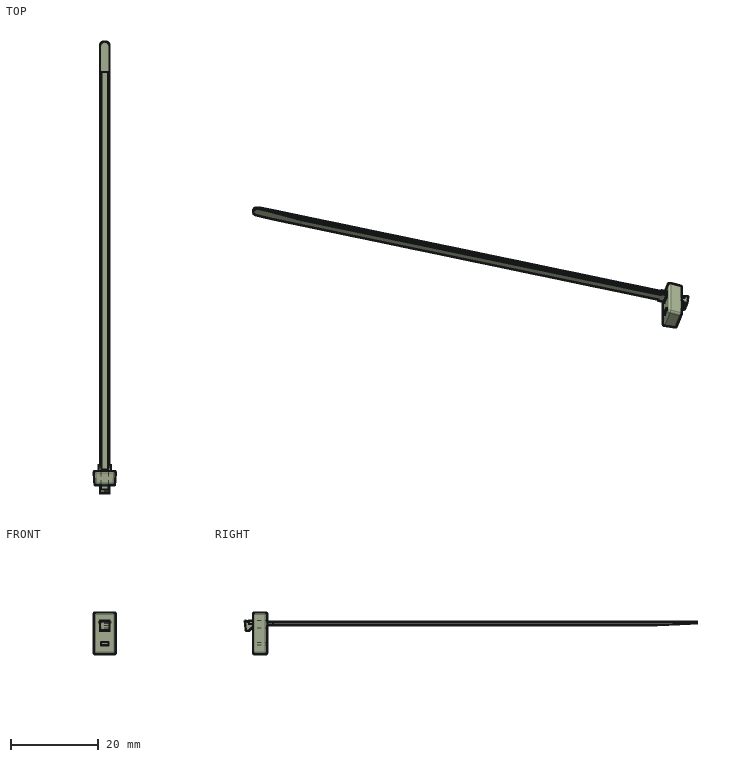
import cadquery as cq
import math


head_back_width = 5.1
head_depth = 3.3
head_height = 9.6
head_edge_radius = 0.5
front_side_radius = 0.3
side_draft = 4.0
slot_width = 1.6
slot_height = 0.6
slot_z = -2.4

strap_length = 97.7
strap_width = 2.3
strap_parting_width = 2.2
strap_bottom_width = 1.6
strap_top = 2.7
strap_thickness = 0.9
strap_bevel = 0.3
strap_bottom = strap_top - strap_thickness
tip_radius = strap_width / 2
tip_thickness = 0.4
tip_ramp_length = 11.3
groove_width = 1.5
groove_depth = 0.15
groove_start = 0.3
groove_end_margin = 7.0

collar_width = 2.9
collar_length = 1.3

neck_width = 1.7
neck_top = 2.9
neck_bottom = 1.2
shoulder_top = 2.2
plate_width = 2.3
plate_top = 2.6
plate_back = -4.2
hook_end = -5.1
hook_bottom = 0.5
shoulder_slope_start = -3.5
lip_y = -4.9
lip_z = 2.7
foot_bevel_y = -4.9
foot_bevel_z = 0.7
foot_y = -4.6


def block(width, y_start, y_end, z_start, z_end):
    """Rectangular block centred on X between the given Y and Z limits."""
    size_y = y_end - y_start
    size_z = z_end - z_start
    return cq.Workplane("XY").box(width, size_y, size_z).translate(
        (0, (y_start + y_end) / 2, (z_start + z_end) / 2)
    )


def side_profile(points, width):
    """Closed (Y, Z) outline extruded symmetrically along X."""
    return cq.Workplane("YZ").polyline(points).close().extrude(width / 2, both=True)


def make_strap_blank():
    """Full-length bar with slightly drafted sides and bevelled lower edges."""
    parting_z = strap_bottom + strap_bevel
    right_half = [
        (strap_bottom_width / 2, strap_bottom),
        (strap_parting_width / 2, parting_z),
        (strap_width / 2, strap_top),
    ]
    left_half = [(-x, z) for x, z in reversed(right_half)]
    return cq.Workplane("XZ").polyline(right_half + left_half).close().extrude(-strap_length)


def round_and_thin_tip(bar):
    """Round the tip seen from above and ramp its underside up."""
    arc_start = strap_length - tip_radius
    plan = (
        cq.Workplane("XY", origin=(0, 0, strap_bottom))
        .moveTo(-tip_radius, 0)
        .lineTo(tip_radius, 0)
        .lineTo(tip_radius, arc_start)
        .threePointArc((0, strap_length), (-tip_radius, arc_start))
        .close()
        .extrude(strap_thickness)
    )
    ramp = side_profile(
        [
            (strap_length - tip_ramp_length, strap_bottom),
            (strap_length, strap_bottom),
            (strap_length, strap_top - tip_thickness),
        ],
        strap_width,
    )
    return bar.intersect(plan).cut(ramp)


def make_collar():
    """Wider root of the strap, bevelled below like the strap."""
    collar = block(collar_width, 0, collar_length, strap_bottom, strap_top)
    return collar.edges("|Y and <Z").chamfer(strap_bevel)


def make_neck():
    """Straight neck filling the head's hole and reaching the end plate."""
    return block(neck_width, plate_back, 0, neck_bottom, neck_top)


def make_shoulder():
    """Wider lower part of the neck in front of the head, sloping down to the end plate."""
    return side_profile(
        [
            (-head_depth, shoulder_top),
            (plate_back, shoulder_top),
            (plate_back, hook_bottom),
            (shoulder_slope_start, neck_bottom),
            (-head_depth, neck_bottom),
        ],
        plate_width,
    )


def make_hook_plate():
    """End plate with a rising top edge, a slightly tilted front face and a bevelled foot."""
    return side_profile(
        [
            (plate_back, plate_top),
            (lip_y, neck_top),
            (hook_end, lip_z),
            (foot_bevel_y, foot_bevel_z),
            (foot_y, hook_bottom),
            (plate_back, hook_bottom),
        ],
        plate_width,
    )


def make_strap():
    """Grooved strap with its collar, the neck through the head and the hooked end."""
    groove_end = strap_length - groove_end_margin
    groove = block(groove_width, groove_start, groove_end, strap_top - groove_depth, strap_top)
    bar = round_and_thin_tip(make_strap_blank())
    grooved_bar = bar.union(make_collar()).cut(groove)
    return grooved_bar.union(make_neck()).union(make_shoulder()).union(make_hook_plate())


def make_head():
    """Rounded head, drafted towards the front, with the neck's hole and the open slot."""
    back_half = head_back_width / 2
    front_half = back_half - head_depth * math.tan(math.radians(side_draft))
    outline = [
        (-back_half, 0),
        (back_half, 0),
        (front_half, -head_depth),
        (-front_half, -head_depth),
    ]
    head = cq.Workplane("XY").polyline(outline).close().extrude(head_height / 2, both=True)
    head = head.edges("|Z and <Y").fillet(front_side_radius)
    head = head.faces(">Y or <Z or >Z").edges().fillet(head_edge_radius)
    neck_hole = block(neck_width, -head_depth, 0, neck_bottom, neck_top)
    slot = block(
        slot_width, -head_depth, 0, slot_z - slot_height / 2, slot_z + slot_height / 2
    )
    return head.cut(neck_hole).cut(slot)


head = make_head()
strap = make_strap()

result = cq.Compound.makeCompound([head.val(), strap.val()])